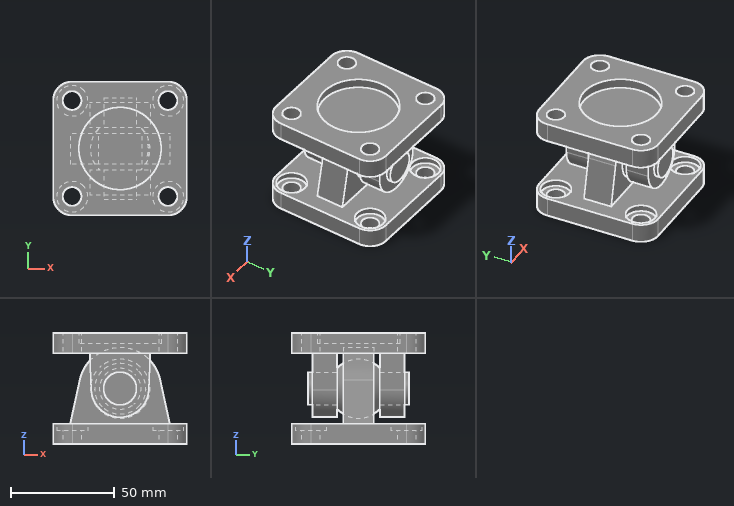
import cadquery as cq
import math

flange_side = 65.0
flange_thickness = 10.0
corner_radius = 9.2
overall_height = 54.0
bolt_offset = flange_side / 2 - corner_radius
bolt_diameter = 9.0
counterbore_diameter = 15.0
counterbore_depth = 3.3
recess_diameter = 40.0
recess_depth = 5.0

axis_height = overall_height / 2
upper_flange_bottom = overall_height - flange_thickness
pin_diameter = 16.0
pin_length = 49.0
ball_radius = 14.4

eye_radius = 20.0
eye_width = 14.8
eye_foot_half_width = 24.2

fork_radius = 14.0
fork_root_half_width = 14.7
fork_outer_width = 44.85
fork_thickness = 12.0
fork_gap = fork_outer_width - 2 * fork_thickness


def flange(bottom):
    """Square plate with rounded corners and four through holes."""
    return (
        cq.Workplane("XY", origin=(0, 0, bottom))
        .rect(flange_side, flange_side)
        .extrude(flange_thickness)
        .edges("|Z")
        .fillet(corner_radius)
        .faces(">Z")
        .workplane(origin=(0, 0, 0))
        .rect(2 * bolt_offset, 2 * bolt_offset, forConstruction=True)
        .vertices()
        .hole(bolt_diameter)
    )


def cylinder_along_y(diameter, length):
    """Cylinder on the hinge axis, centred on Y = 0."""
    profile = cq.Workplane("XZ", origin=(0, 0, axis_height)).circle(diameter / 2)
    return profile.extrude(length / 2, both=True)


def lug(root_half_width, root_height, radius, width, y_center):
    """Plate with a round end about the hinge axis and sides tangent to that end."""
    root_rise = root_height - axis_height
    root_distance = math.hypot(root_half_width, root_rise)
    root_angle = math.atan2(abs(root_rise), root_half_width)
    tangent_angle = math.acos(radius / root_distance) - root_angle
    end_direction = -math.copysign(1, root_rise)
    tangent_x = radius * math.cos(tangent_angle)
    tangent_z = end_direction * radius * math.sin(tangent_angle)
    return (
        cq.Workplane("XZ", origin=(0, y_center, axis_height))
        .moveTo(-root_half_width, root_rise)
        .lineTo(-tangent_x, tangent_z)
        .threePointArc((0, end_direction * radius), (tangent_x, tangent_z))
        .lineTo(root_half_width, root_rise)
        .close()
        .extrude(width / 2, both=True)
    )


def make_base():
    """Lower flange with counterbored holes and a central eye that holds the ball."""
    body = flange(0)
    counterbores = (
        cq.Workplane("XY", origin=(0, 0, flange_thickness))
        .rect(2 * bolt_offset, 2 * bolt_offset, forConstruction=True)
        .vertices()
        .circle(counterbore_diameter / 2)
        .extrude(-counterbore_depth)
    )
    eye = lug(eye_foot_half_width, flange_thickness, eye_radius, eye_width, 0)
    socket = cq.Workplane("XY", origin=(0, 0, axis_height)).sphere(ball_radius)
    return body.cut(counterbores).union(eye).cut(socket)


def make_fork():
    """Upper flange with a round recess on top and two lugs below that carry the pin."""
    body = flange(upper_flange_bottom)
    recess = (
        cq.Workplane("XY", origin=(0, 0, overall_height))
        .circle(recess_diameter / 2)
        .extrude(-recess_depth)
    )
    eye_hollow = cylinder_along_y(2 * eye_radius, eye_width)
    body = body.cut(recess).cut(eye_hollow)
    lug_offset = (fork_gap + fork_thickness) / 2
    for side in (-1, 1):
        fork_lug = lug(
            fork_root_half_width, upper_flange_bottom, fork_radius, fork_thickness, side * lug_offset
        )
        body = body.union(fork_lug)
    return body.cut(cylinder_along_y(pin_diameter, pin_length))


def make_ball_pin():
    """Hinge pin with a ball in the middle, cut flat where it meets the fork lugs."""
    ball = cq.Workplane("XY", origin=(0, 0, axis_height)).sphere(ball_radius)
    trimmed_ball = ball.intersect(cylinder_along_y(2 * eye_radius, fork_gap))
    return cylinder_along_y(pin_diameter, pin_length).union(trimmed_ball)


base = make_base()
fork = make_fork()
ball_pin = make_ball_pin()

result = cq.Compound.makeCompound([body.solids().val() for body in (base, fork, ball_pin)])